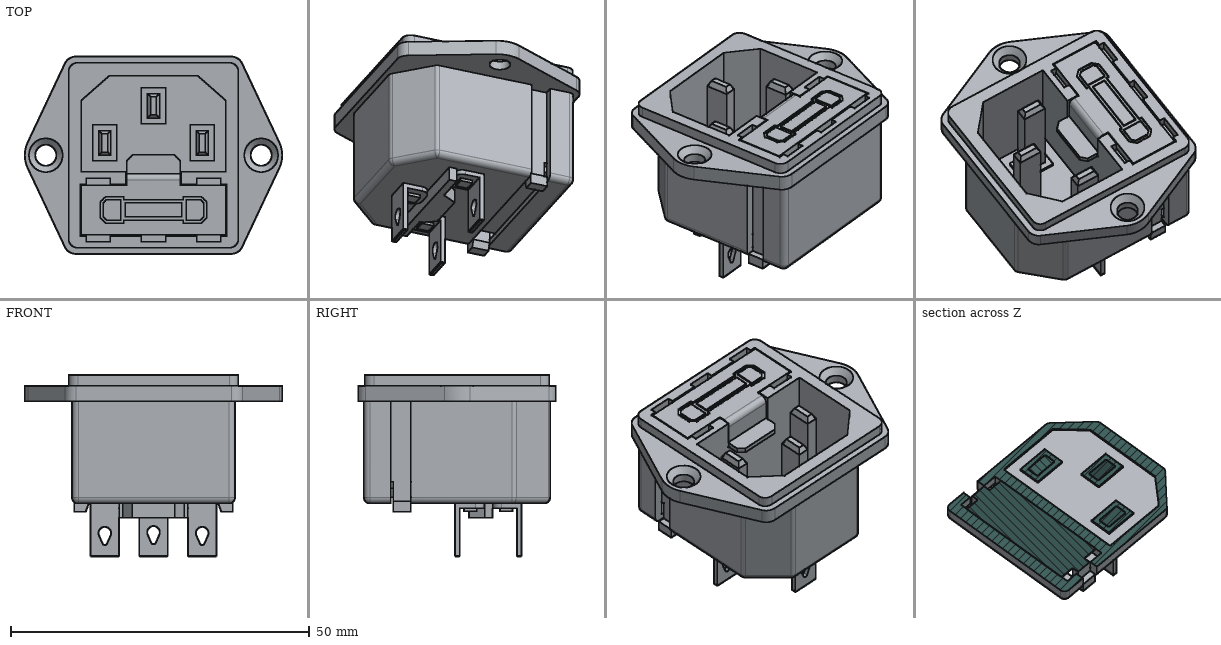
import cadquery as cq
import math

flange_thickness = 2.6
rim_height = 1.85
top_z = flange_thickness + rim_height
shell_depth = 17.1
terminal_depth = 25.98

flange_half_length = 21.58
flange_width = 33.1
flange_half_width = flange_width / 2
flange_tip_radius = 5.0
flange_corner_radius = 2.05
flange_corner_x = 13.0
screw_x = 18.05
screw_diameter = 3.5
countersink_diameter = 5.65
countersink_angle = 90

rim_size = (28.45, 31.0)
rim_corner_radius = 1.5
shell_half_x = 13.7
shell_half_y = 15.6
shell_chamfer = 6.05
shell_edge_radius = 1.05
floor_z = shell_edge_radius - shell_depth

socket_half_x = 12.13
socket_back_y = 13.3
socket_front_y = -2.8
socket_chamfer_x = 4.7
socket_chamfer_y = 4.15
socket_floor_z = -14.65
boss_size = (4.05, 6.05)
boss_height = 0.45

drawer_half_x = 12.13
drawer_back_y = -5.0
drawer_front_y = -13.3
drawer_mid_y = (drawer_back_y + drawer_front_y) / 2
side_clearance = 0.15
front_clearance = 0.25
tab_half_x = 4.5
tab_back_y = -3.05
tab_edge_radius = 1.05
lip_back_y = 0.05
lip_top_z = 0.0
lip_thickness = 0.85
lip_chamfer = 1.0
carrier_bottom_z = -13.4
core_step_z = -14.5
core_half_x = 9.5

arm_inner_x = 10.87
arm_back_y = -7.72
arm_front_y = -10.7
slot_front_y = -11.1
hook_outer_x = 13.3
hook_toe_x = 11.35
hook_top_z = -16.7
hook_slope_z = -17.2
hook_bottom_z = -18.5

notch_width = 4.05
notch_pitch = 9.25
notch_back_y = -3.9
notch_front_y = -14.45
notch_depth = 1.73

symbol_depth = 0.2
symbol_cap_x = (5.0, 8.95)
symbol_cap_half_y = 2.2
symbol_cap_chamfer = 0.9
symbol_neck_half_y = 1.73
island_cap_x = (5.5, 8.4)
island_cap_half_y = 1.73
island_cap_chamfer = 0.55
island_bar_half_x = 4.75
island_bar_half_y = 1.15

barrier_bottom_z = -19.5
barrier_wing_half_x = 10.55
barrier_back_y = 5.95
barrier_step_y = 4.6
barrier_nose_y = 2.0
barrier_root_half_x = 5.18
barrier_nose_half_x = 3.6

pin_size = (2.03, 4.1)
pin_chamfer = 0.5
pin_chamfer_height = 1.0
earth_pin_y = 8.3
line_pin_x = 8.15
line_pin_y = 2.05
earth_pin_top_z = 4.3
line_pin_top_z = 2.4
plate_thickness = 0.8
tail_width = 4.85
earth_tail_y = 10.85
line_tail_y = -0.35
foot_length = 4.88
foot_corner_radius = 1.45
rivet_inset = 2.6
rivet_length = 2.15
rivet_height = 0.5
tail_end_chamfer = 0.17
eye_top_radius = 1.05
eye_bottom_radius = 0.4
eye_spacing = 1.6
earth_eye_z = -21.9
line_eye_z = -22.05


def block(x_range, y_range, z_range):
    """Box spanning the given X, Y and Z ranges."""
    size = [max(r) - min(r) for r in (x_range, y_range, z_range)]
    corner = (min(x_range), min(y_range), min(z_range))
    return cq.Workplane("XY").box(*size, centered=False).translate(corner)


def prism(points, z_range):
    """Vertical prism over a polygon."""
    bottom, top = z_range
    return cq.Workplane("XY", origin=(0, 0, bottom)).polyline(points).close().extrude(top - bottom)


def mirrored(points):
    """Polygon made symmetric about the Y axis from its -X half."""
    return points + [(-x, y) for x, y in reversed(points)]


def tangent_angle(dx, dy, radius_change):
    """Direction of the normal shared by two circles on their right-hand common tangent.

    (dx, dy) leads from the first centre to the second, whose radius is larger by radius_change.
    """
    return math.atan2(dy, dx) - math.acos(-radius_change / math.hypot(dx, dy))


def on_circle(center, radius, angle):
    return (center[0] + radius * math.cos(angle), center[1] + radius * math.sin(angle))


def flange():
    corner = (flange_corner_x, flange_half_width - flange_corner_radius)
    tip = (flange_half_length - flange_tip_radius, 0)
    angle = tangent_angle(corner[0] - tip[0], corner[1], flange_corner_radius - flange_tip_radius)
    middle = (angle + math.pi / 2) / 2
    tip_point = on_circle(tip, flange_tip_radius, angle)
    corner_side = on_circle(corner, flange_corner_radius, angle)
    corner_middle = on_circle(corner, flange_corner_radius, middle)
    quarter = (
        cq.Workplane("XY")
        .moveTo(flange_half_length, 0)
        .threePointArc(on_circle(tip, flange_tip_radius, angle / 2), tip_point)
        .lineTo(*corner_side)
        .threePointArc(corner_middle, (flange_corner_x, flange_half_width))
        .lineTo(0, flange_half_width)
        .lineTo(0, 0)
        .close()
        .extrude(flange_thickness)
    )
    half = quarter.union(quarter.mirror("XZ"))
    return half.union(half.mirror("YZ")).clean()


def shell():
    outline = mirrored([
        (-shell_half_x, -shell_half_y),
        (-shell_half_x, shell_half_y - shell_chamfer),
        (shell_chamfer - shell_half_x, shell_half_y),
    ])
    return (
        prism(outline, (-shell_depth, 0))
        .edges("|Z")
        .fillet(shell_edge_radius)
        .faces("<Z")
        .edges()
        .fillet(shell_edge_radius)
    )


def rim():
    return (
        cq.Workplane("XY", origin=(0, 0, flange_thickness))
        .rect(*rim_size)
        .extrude(rim_height)
        .edges("|Z")
        .fillet(rim_corner_radius)
    )


def socket_pocket():
    outline = mirrored([
        (-socket_half_x, socket_front_y),
        (-socket_half_x, socket_back_y - socket_chamfer_y),
        (socket_chamfer_x - socket_half_x, socket_back_y),
    ])
    return prism(outline, (socket_floor_z, top_z))


def drawer_pocket():
    """Close-fitting pocket with a clearance recess at its mouth and a passage into the socket."""
    opening_x = drawer_half_x + side_clearance
    opening_back_y = drawer_back_y + side_clearance
    opening_front_y = drawer_front_y - front_clearance
    passage_x = tab_half_x + side_clearance
    pocket = block(
        (-drawer_half_x, drawer_half_x), (drawer_front_y, drawer_back_y), (floor_z, top_z)
    )
    opening = block(
        (-opening_x, opening_x), (opening_front_y, opening_back_y), (top_z - notch_depth, top_z)
    )
    passage = block(
        (-passage_x, passage_x), (drawer_back_y, socket_front_y), (lip_top_z - lip_thickness, top_z)
    )
    return pocket.union(opening).union(passage)


def finger_notches():
    notch_z = (top_z - notch_depth, top_z)
    places = [(-notch_pitch, notch_back_y), (notch_pitch, notch_back_y)]
    places += [(column * notch_pitch, notch_front_y) for column in (-1, 0, 1)]
    notches = cq.Workplane("XY")
    for x, outer_y in places:
        x_range = (x - notch_width / 2, x + notch_width / 2)
        notches = notches.union(block(x_range, (outer_y, drawer_mid_y), notch_z))
    return notches


def arm_slot():
    """Slot across the floor and up both side walls."""
    band_y = (slot_front_y, arm_back_y)
    slot = block((-shell_half_x, shell_half_x), band_y, (-shell_depth, floor_z))
    for side in (-1, 1):
        wall = block((side * drawer_half_x, side * shell_half_x), band_y, (-shell_depth, 0))
        slot = slot.union(wall)
    return slot


def barrier():
    outline = mirrored([
        (-barrier_nose_half_x, barrier_nose_y),
        (-barrier_root_half_x, barrier_step_y),
        (-barrier_wing_half_x, barrier_step_y),
        (-barrier_wing_half_x, barrier_back_y),
    ])
    return prism(outline, (barrier_bottom_z, -shell_depth))


def make_housing(terminals):
    pins = [(0, earth_pin_y), (-line_pin_x, line_pin_y), (line_pin_x, line_pin_y)]
    bosses = (
        cq.Workplane("XY", origin=(0, 0, socket_floor_z))
        .pushPoints(pins)
        .rect(*boss_size)
        .extrude(boss_height)
    )
    body = (
        flange()
        .faces(">Z")
        .workplane(origin=(0, 0, flange_thickness))
        .pushPoints([(-screw_x, 0), (screw_x, 0)])
        .cskHole(screw_diameter, countersink_diameter, countersink_angle)
    )
    body = body.union(shell()).union(rim()).union(barrier())
    body = body.cut(socket_pocket()).union(bosses)
    body = body.cut(drawer_pocket()).cut(finger_notches()).cut(arm_slot())
    for terminal in terminals:
        body = body.cut(terminal)
    return body


def symbol_cap(side, x_range, half_y, chamfer, z_range):
    """End cap of the fuse symbol with its two outer corners cut off."""
    inner_x, outer_x = x_range
    shoulder_x = outer_x - chamfer
    outline = [
        (inner_x, -half_y),
        (shoulder_x, -half_y),
        (outer_x, chamfer - half_y),
        (outer_x, half_y - chamfer),
        (shoulder_x, half_y),
        (inner_x, half_y),
    ]
    return prism([(side * x, drawer_mid_y + y) for x, y in outline], z_range)


def symbol_bar(half_x, half_y, z_range):
    return block((-half_x, half_x), (drawer_mid_y - half_y, drawer_mid_y + half_y), z_range)


def fuse_symbol():
    """Sunken fuse outline that leaves two caps and a bar standing."""
    z_range = (top_z - symbol_depth, top_z)
    symbol = symbol_bar(symbol_cap_x[0], symbol_neck_half_y, z_range)
    symbol = symbol.cut(symbol_bar(island_bar_half_x, island_bar_half_y, z_range))
    for side in (-1, 1):
        symbol = symbol.union(
            symbol_cap(side, symbol_cap_x, symbol_cap_half_y, symbol_cap_chamfer, z_range)
        )
    for side in (-1, 1):
        symbol = symbol.cut(
            symbol_cap(side, island_cap_x, island_cap_half_y, island_cap_chamfer, z_range)
        )
    return symbol


def drawer_tab():
    """Rounded tab at the back of the drawer with a finger lip that reaches into the socket."""
    lip_bottom_z = lip_top_z - lip_thickness
    tab = block((-tab_half_x, tab_half_x), (drawer_back_y, tab_back_y), (lip_bottom_z, top_z))
    tab = tab.edges(">Y and >Z").fillet(tab_edge_radius)
    lip = block((-tab_half_x, tab_half_x), (drawer_back_y, lip_back_y), (lip_bottom_z, lip_top_z))
    return tab.union(lip.edges("|Z and >Y").chamfer(lip_chamfer))


def snap_arm(side):
    profile = [
        (arm_inner_x, carrier_bottom_z),
        (drawer_half_x, carrier_bottom_z),
        (drawer_half_x, hook_top_z),
        (hook_outer_x, hook_top_z),
        (hook_outer_x, hook_bottom_z),
        (hook_toe_x, hook_bottom_z),
        (arm_inner_x, hook_slope_z),
    ]
    return (
        cq.Workplane("XZ", origin=(0, arm_back_y, 0))
        .polyline([(side * x, z) for x, z in profile])
        .close()
        .extrude(arm_back_y - arm_front_y)
    )


def make_drawer():
    depth_y = (drawer_front_y, drawer_back_y)
    drawer = block((-drawer_half_x, drawer_half_x), depth_y, (carrier_bottom_z, top_z))
    drawer = drawer.union(block((-arm_inner_x, arm_inner_x), depth_y, (core_step_z, carrier_bottom_z)))
    drawer = drawer.union(block((-core_half_x, core_half_x), depth_y, (floor_z, core_step_z)))
    drawer = drawer.union(drawer_tab()).cut(fuse_symbol())
    for side in (-1, 1):
        drawer = drawer.union(snap_arm(side))
    return drawer


def eye(x, top_center_z, y_range):
    """Teardrop eye through a tail: a large circle tapering to a small one below it."""
    top = (x, top_center_z)
    bottom = (x, top_center_z - eye_spacing)
    angle = tangent_angle(0, eye_spacing, eye_top_radius - eye_bottom_radius)
    far_angle = math.pi - angle
    return (
        cq.Workplane("XZ", origin=(0, max(y_range), 0))
        .moveTo(*on_circle(bottom, eye_bottom_radius, angle))
        .lineTo(*on_circle(top, eye_top_radius, angle))
        .threePointArc(
            on_circle(top, eye_top_radius, math.pi / 2), on_circle(top, eye_top_radius, far_angle)
        )
        .lineTo(*on_circle(bottom, eye_bottom_radius, far_angle))
        .threePointArc(
            on_circle(bottom, eye_bottom_radius, -math.pi / 2),
            on_circle(bottom, eye_bottom_radius, angle),
        )
        .close()
        .extrude(max(y_range) - min(y_range))
    )


def make_terminal(x, pin_y, pin_top_z, tail_y, foot_direction, eye_z):
    """Contact pin, riveted foot and solder tail; the foot runs from the tail along +Y or -Y."""
    foot_bottom_z = -shell_depth - plate_thickness
    foot_end_y = tail_y + foot_direction * foot_length
    rivet_y = tail_y + foot_direction * rivet_inset
    tail_y_range = (tail_y, tail_y + foot_direction * plate_thickness)
    x_range = (x - tail_width / 2, x + tail_width / 2)

    straight_top_z = pin_top_z - pin_chamfer_height
    pin = (
        cq.Workplane("XY", origin=(x, pin_y, -shell_depth))
        .rect(*pin_size)
        .extrude(straight_top_z + shell_depth)
    )
    pin_tip = (
        cq.Workplane("XY", origin=(x, pin_y, straight_top_z))
        .rect(*pin_size)
        .workplane(offset=pin_chamfer_height)
        .rect(*[side - 2 * pin_chamfer for side in pin_size])
        .loft(ruled=True)
    )
    foot_end = ">Y" if foot_direction > 0 else "<Y"
    foot = block(x_range, (tail_y, foot_end_y), (foot_bottom_z, -shell_depth))
    foot = foot.edges("|Z and " + foot_end).fillet(foot_corner_radius)
    rivet = block(
        (x - pin_size[0] / 2, x + pin_size[0] / 2),
        (rivet_y - rivet_length / 2, rivet_y + rivet_length / 2),
        (foot_bottom_z - rivet_height, foot_bottom_z),
    )
    tail = block(x_range, tail_y_range, (-terminal_depth, -shell_depth))
    tail = tail.faces("<Z").edges().chamfer(tail_end_chamfer)
    tail = tail.cut(eye(x, eye_z, tail_y_range))
    return pin.union(pin_tip).union(foot).union(rivet).union(tail)


terminals = [make_terminal(0, earth_pin_y, earth_pin_top_z, earth_tail_y, -1, earth_eye_z)]
for side in (-1, 1):
    terminals.append(
        make_terminal(side * line_pin_x, line_pin_y, line_pin_top_z, line_tail_y, 1, line_eye_z)
    )
housing = make_housing(terminals)
drawer = make_drawer()

result = cq.Compound.makeCompound(
    [body.solids().val() for body in (housing, drawer, *terminals)]
)